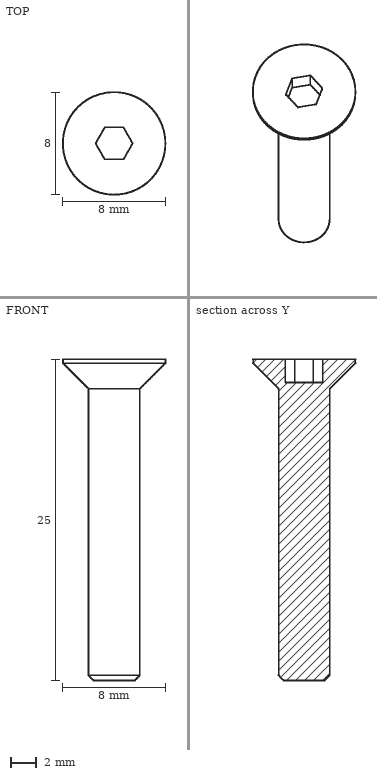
import cadquery as cq
import math

length = 25.0
shank_diameter = 4.0
head_diameter = 8.0
rim_height = 0.3
tip_chamfer = 0.4
socket_across_flats = 2.5
socket_depth = 1.8

shank_radius = shank_diameter / 2
head_radius = head_diameter / 2
tip_radius = shank_radius - tip_chamfer
rim_bottom = length - rim_height
cone_bottom = rim_bottom - (head_radius - shank_radius)


def screw_body():
    """Revolve the half profile of tip, shank and head about Z."""
    return (
        cq.Workplane("XZ")
        .moveTo(0, 0)
        .lineTo(tip_radius, 0)
        .lineTo(shank_radius, tip_chamfer)
        .lineTo(shank_radius, cone_bottom)
        .lineTo(head_radius, rim_bottom)
        .lineTo(head_radius, length)
        .lineTo(0, length)
        .close()
        .revolve(360, (0, 0, 0), (0, 1, 0))
    )


def hex_socket():
    """Hexagonal drive recess with two corners on the X axis."""
    across_corners = socket_across_flats / math.cos(math.radians(30))
    return (
        cq.Workplane("XY")
        .workplane(offset=length - socket_depth)
        .polygon(6, across_corners)
        .extrude(socket_depth)
    )


result = screw_body().cut(hex_socket())